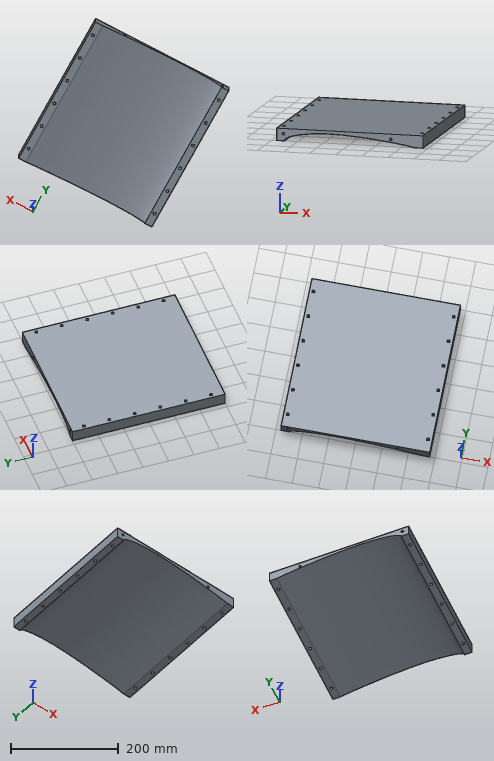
import cadquery as cq

width = 280.5
length = 300.0
height = 23.5

wall = 15.0
chord = width - 2 * wall
max_camber = 0.02
camber_position = 0.4
thickness = 0.1
profile_steps = 24

screw_diameter = 5.0
screw_inset = 7.8
screw_pitch = length / 6
screws_per_side = 6

pin_diameter = 4.5
pin_height = 13.5
pin_positions = (13.0, 219.0)


def upper_surface(s):
    """Height of the airfoil's upper surface at chord fraction s, as a fraction of the chord."""
    half_thickness = 5 * thickness * (
        0.2969 * s**0.5 - 0.1260 * s - 0.3516 * s**2 + 0.2843 * s**3 - 0.1015 * s**4
    )
    if s < camber_position:
        scale = max_camber / camber_position**2
        camber = scale * (2 * camber_position * s - s**2)
    else:
        scale = max_camber / (1 - camber_position) ** 2
        camber = scale * (1 - 2 * camber_position + 2 * camber_position * s - s**2)
    return half_thickness + camber


def airfoil_points():
    """Points from the blunt nose to the thin tail, packed closer together at the nose."""
    fractions = [(i / profile_steps) ** 2 for i in range(profile_steps + 1)]
    points = [(wall + chord * s, chord * upper_surface(s)) for s in fractions]
    points[-1] = (wall + chord, 0)
    return points


def make_body():
    """Block section with the airfoil curve cut into its lower edge, extruded along Y."""
    curve = airfoil_points()
    return (
        cq.Workplane("XZ")
        .lineTo(*curve[0])
        .spline(curve[1:], includeCurrent=True)
        .lineTo(width, 0)
        .lineTo(width, height)
        .lineTo(0, height)
        .close()
        .extrude(-length)
    )


def make_screw_holes():
    """Two rows of vertical through holes, centred along the length."""
    row_spacing = width - 2 * screw_inset
    return (
        cq.Workplane("XY")
        .center(width / 2, length / 2)
        .rarray(row_spacing, screw_pitch, 2, screws_per_side)
        .circle(screw_diameter / 2)
        .extrude(height)
    )


def make_pin_holes():
    """Holes running the full length of the block, one near each side."""
    return (
        cq.Workplane("XZ")
        .pushPoints([(x, pin_height) for x in pin_positions])
        .circle(pin_diameter / 2)
        .extrude(-length)
    )


result = make_body().cut(make_screw_holes()).cut(make_pin_holes())